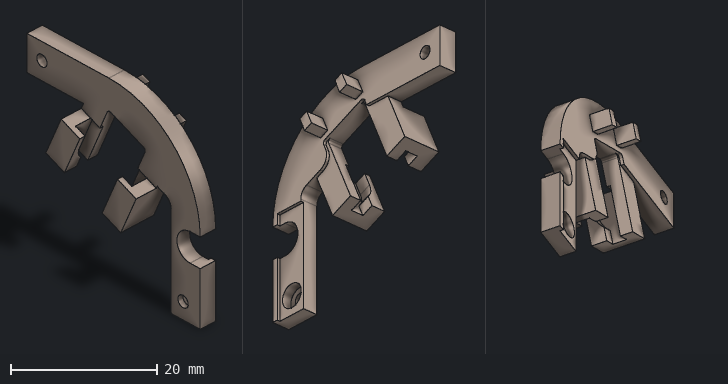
import cadquery as cq
import math

WIDTH = 33.8
HEIGHT = 32.8
PLATE_THICKNESS = 3.0
OUTER_RADIUS = 17.78
BAR_BOTTOM = 26.35
LEG_LEFT = 28.1
LEG_CORNER_RADIUS = 1.9
SLOT_CORNER_RADIUS = 0.5

HOLE_DIAMETER = 2.0
BAR_HOLE = (2.97, 29.68)
LEG_HOLE = (30.45, 3.05)
COUNTERBORE_DIAMETER = 3.8
COUNTERBORE_FLOOR = 0.95
NOTCH_WIDTH = 5.1
NOTCH_LEFT = 29.27
NOTCH_TOP = HEIGHT - OUTER_RADIUS

LEG_RIM_WIDTH = 0.95
LEG_RECESS_TOP = 16.73

TILT = 23.5
TIP_X = 14.95
TIP_Z = 15.38
SLOT_WIDTH = 7.98
SLOT_DEPTH = 11.55
BACK_SLOT_WIDENING = 0.5
BACK_MOUTH_RADIUS = 2.1
ARM_WIDTH = 4.0
ARM_LENGTH = 7.5
NECK_LENGTH = 10.48
BAND_EDGE = 7.9
ARM_FRONT = 3.9
BACK_RECESS = 0.5

GROOVE_DEPTH = ARM_WIDTH / 2
GROOVE_PLATE_CUT = 0.6
THIN_LIP = 1.0
THICK_LIP = 2.4
THICK_LIP_LENGTH = 2.03
RAMP_RADIUS = 4.0

PEG_WIDTH = 1.55
PEG_LENGTH = 2.5
PEG_HEIGHT = 3.0
PEG_SPACING = 7.75
PEG_ROW_OFFSET = -0.1
PEG_ROW_HEIGHT = 13.72

SIN = math.sin(math.radians(TILT))
COS = math.cos(math.radians(TILT))
HALF_SLOT = SLOT_WIDTH / 2
ARM_BACK = PLATE_THICKNESS - BACK_RECESS


def tilted_point(across, along):
    """X and Z of a point given across and along the arms."""
    return (TIP_X + across * COS + along * SIN, TIP_Z - across * SIN + along * COS)


def tilt(body):
    """Move a body built upright about the origin to the tilted arm frame."""
    return body.rotate((0, 0, 0), (0, 1, 0), TILT).translate((TIP_X, 0, TIP_Z))


def block(x_range, y_range, z_range):
    size = [high - low for low, high in (x_range, y_range, z_range)]
    corner = (x_range[0], y_range[0], z_range[0])
    return cq.Workplane("XY").box(*size, centered=False).translate(corner)


def edges_at(body, points, middle):
    """Select the through-thickness edges that pass through the given X, Z points at mid-depth."""
    edges = body.edges("|Y")
    picked = [edges.sort(
        lambda edge, x=x, z=z: (edge.Center() - cq.Vector(x, middle, z)).Length
    ).first().val() for x, z in points]
    return body.newObject(picked)


def make_layer(half_slot, front, back, mouth_radius=None):
    """One layer of the plate between two Y positions, with an optional round at the slot mouth."""
    across_at_leg = (LEG_LEFT - TIP_X - BAND_EDGE * SIN) / COS
    leg_corner = tilted_point(across_at_leg, BAND_EDGE)
    right_mouth = tilted_point(half_slot, BAND_EDGE)
    slot_corners = [tilted_point(side * half_slot, SLOT_DEPTH) for side in (1, -1)]
    left_mouth_along = (BAR_BOTTOM - TIP_Z - half_slot * SIN) / COS
    left_mouth = tilted_point(-half_slot, left_mouth_along)
    arc_x = WIDTH - OUTER_RADIUS
    arc_z = HEIGHT - OUTER_RADIUS
    arc_reach = OUTER_RADIUS * math.sqrt(0.5)
    layer = (
        cq.Workplane("XZ", origin=(0, front, 0))
        .moveTo(0, HEIGHT)
        .lineTo(arc_x, HEIGHT)
        .threePointArc((arc_x + arc_reach, arc_z + arc_reach), (WIDTH, arc_z))
        .lineTo(WIDTH, 0)
        .lineTo(LEG_LEFT, 0)
        .lineTo(*leg_corner)
        .lineTo(*right_mouth)
        .lineTo(*slot_corners[0])
        .lineTo(*slot_corners[1])
        .lineTo(*left_mouth)
        .lineTo(0, BAR_BOTTOM)
        .close()
        .extrude(front - back)
    )
    middle = (front + back) / 2
    layer = edges_at(layer, slot_corners, middle).fillet(SLOT_CORNER_RADIUS)
    layer = edges_at(layer, [leg_corner], middle).fillet(LEG_CORNER_RADIUS)
    if mouth_radius:
        layer = edges_at(layer, [right_mouth], middle).fillet(mouth_radius)
    return layer


def make_plate():
    front_layer = make_layer(HALF_SLOT, 0, ARM_BACK)
    back_half_slot = HALF_SLOT + BACK_SLOT_WIDENING
    back_layer = make_layer(back_half_slot, ARM_BACK, PLATE_THICKNESS, BACK_MOUTH_RADIUS)
    return front_layer.union(back_layer)


def make_groove():
    """Groove cutter for the right arm; its floor rises in an arc to the thick lip at the tip."""
    groove_back = GROOVE_PLATE_CUT
    thin_y = THIN_LIP - ARM_FRONT
    thick_y = THICK_LIP - ARM_FRONT
    ramp_angle = math.acos(1 - (THICK_LIP - THIN_LIP) / RAMP_RADIUS)
    ramp_start = THICK_LIP_LENGTH + RAMP_RADIUS * math.sin(ramp_angle)
    ramp_middle = (
        thin_y + RAMP_RADIUS * (1 - math.cos(ramp_angle / 2)),
        ramp_start - RAMP_RADIUS * math.sin(ramp_angle / 2),
    )
    return (
        cq.Workplane("YZ", origin=(HALF_SLOT, 0, 0))
        .moveTo(groove_back, 0)
        .lineTo(groove_back, ARM_LENGTH)
        .lineTo(thin_y, ARM_LENGTH)
        .lineTo(thin_y, ramp_start)
        .threePointArc(ramp_middle, (thick_y, THICK_LIP_LENGTH))
        .lineTo(thick_y, 0)
        .close()
        .extrude(GROOVE_DEPTH)
    )


def make_arms():
    span = (HALF_SLOT, HALF_SLOT + ARM_WIDTH)
    neck = block(span, (0, ARM_BACK), (0, NECK_LENGTH))
    finger = block(span, (-ARM_FRONT, ARM_BACK), (0, ARM_LENGTH))
    right_arm = neck.union(finger).cut(make_groove())
    return tilt(right_arm.union(right_arm.mirror("YZ")))


def make_pegs():
    pegs = cq.Workplane("XY")
    for side in (-1, 1):
        peg = cq.Workplane("XY").box(PEG_WIDTH, PEG_HEIGHT, PEG_LENGTH)
        across = PEG_ROW_OFFSET + side * PEG_SPACING / 2
        pegs = pegs.add(peg.translate((across, PLATE_THICKNESS + PEG_HEIGHT / 2, PEG_ROW_HEIGHT)))
    return tilt(pegs.combine())


def make_notch():
    """Round-ended notch that opens through the outer edge of the leg."""
    radius = NOTCH_WIDTH / 2
    center_x = NOTCH_LEFT + radius
    center_z = NOTCH_TOP - radius
    z_range = (NOTCH_TOP - NOTCH_WIDTH, NOTCH_TOP)
    round_end = (
        cq.Workplane("XZ").center(center_x, center_z).circle(radius).extrude(-PLATE_THICKNESS)
    )
    opening = block((center_x, WIDTH), (0, PLATE_THICKNESS), z_range)
    return round_end.union(opening)


def make_leg_recess():
    x_range = (LEG_LEFT, WIDTH - LEG_RIM_WIDTH)
    return block(x_range, (ARM_BACK, PLATE_THICKNESS), (0, LEG_RECESS_TOP))


holes = (
    cq.Workplane("XZ").pushPoints([BAR_HOLE, LEG_HOLE]).circle(HOLE_DIAMETER / 2).extrude(-PLATE_THICKNESS)
)
counterbore = (
    cq.Workplane("XZ", origin=(0, COUNTERBORE_FLOOR, 0))
    .center(*LEG_HOLE)
    .circle(COUNTERBORE_DIAMETER / 2)
    .extrude(COUNTERBORE_FLOOR - PLATE_THICKNESS)
)
body = make_plate().union(make_arms()).union(make_pegs())
result = body.cut(make_notch()).cut(make_leg_recess()).cut(holes).cut(counterbore)